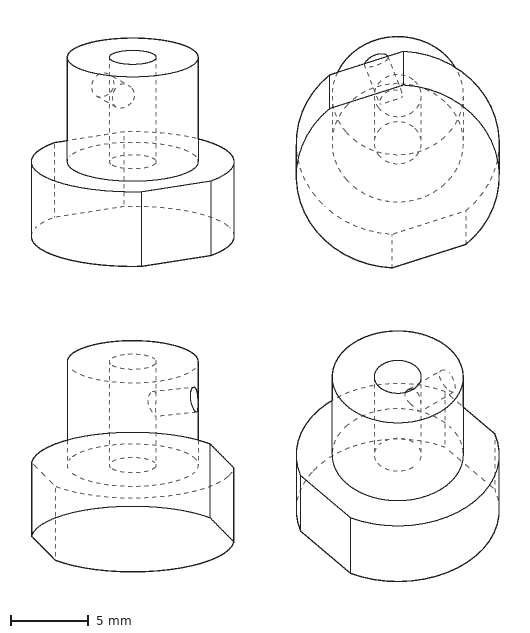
import cadquery as cq

base_diameter = 13.0
width_across_flats = 12.0
base_height = 5.0

boss_diameter = 8.4
boss_height = 7.0
total_height = base_height + boss_height

bore_diameter = 3.0
bore_depth = boss_height

side_hole_diameter = 1.6
side_hole_height = 9.0


def make_base():
    """Disc with two parallel flats facing -X and +X."""
    disc = cq.Workplane("XY").circle(base_diameter / 2).extrude(base_height)
    flats = cq.Workplane("XY").box(
        width_across_flats, base_diameter, base_height, centered=(True, True, False)
    )
    return disc.intersect(flats)


def make_boss():
    return cq.Workplane("XY").workplane(offset=base_height).circle(boss_diameter / 2).extrude(boss_height)


def make_bore():
    return (
        cq.Workplane("XY")
        .workplane(offset=total_height - bore_depth)
        .circle(bore_diameter / 2)
        .extrude(bore_depth)
    )


def make_side_hole():
    """Cylinder from the bore axis out through the -X side of the boss."""
    return (
        cq.Workplane("YZ")
        .center(0, side_hole_height)
        .circle(side_hole_diameter / 2)
        .extrude(-boss_diameter / 2)
    )


result = make_base().union(make_boss()).cut(make_bore()).cut(make_side_hole())